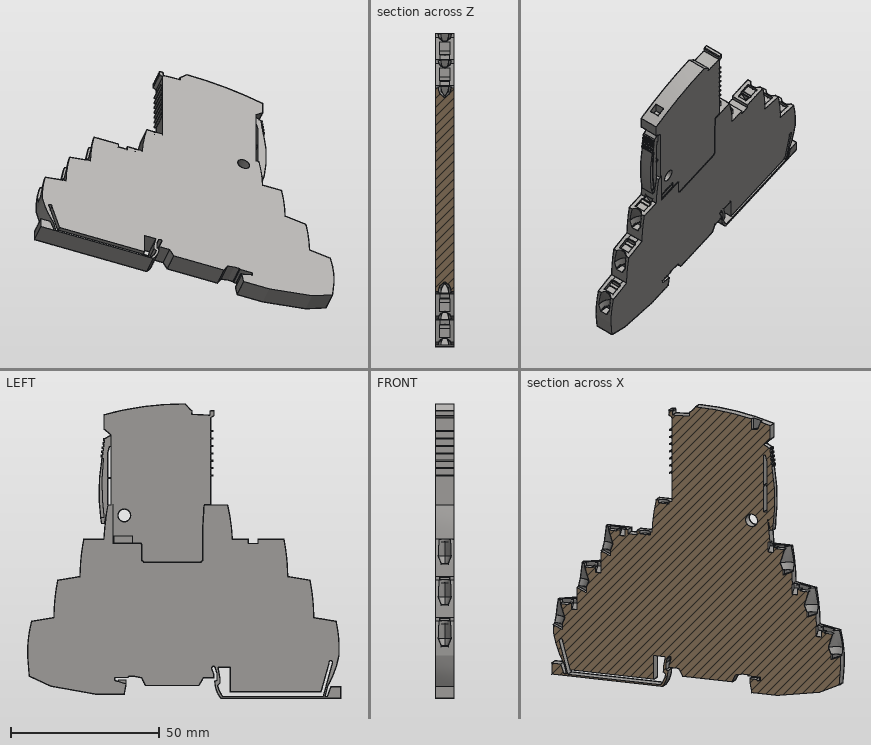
import cadquery as cq
import math

thickness = 6.3
face_x = -thickness / 2

tier_count = 3
tier_pitch_y = 8.8
tier_pitch_z = 13.85
tier_top_y = 33.8
tier_top_z = 53.75
tier_bulge = (0.85, -5.6)
tier_face_run = (1.3, -12.6)
housing_end_y = 52.75
housing_end_right_y = -52.35
end_low_z = 14.35

collar_z = 65.3
collar_left_y = 25.6
collar_right_y = -14.8
collar_foot_left_y = 27.0
collar_foot_right_y = -16.4
collar_mid_z = 59.3

module_left_y = 24.6
module_right_y = -9.1
module_head_y = 27.0
module_top_z = 99.4
module_overlap = 1.0
grip_count = 7
grip_pitch = 2.5
grip_top_z = 90.2
grip_reach = 0.75
grip_height = 0.35

lever_half_width = 2.25
lever_rim_step = 0.3
thumb_step_count = 5
thumb_top_z = 87.4
thumb_top_y = 27.15
thumb_root_y = 26.4
thumb_pitch = 1.4
thumb_step_out = 0.2
thumb_height = 0.6

foot_tip_y = -53.01
foot_block_z = 4.0
foot_plate = 0.7
housing_floor_z = 2.2
pocket_y = -15.6
pocket_top_z = 10.5

entry_base_y = 34.6
entry_half_width = 2.2
entry_shelf_half_width = 2.05
entry_shelf_apex_y = 32.8
entry_deep_apex_y = 30.6
entry_tip_half_width = 1.25
entry_tip_apex_y = 31.6
entry_bottom_z = 45.6
entry_taper_height = 2.4
entry_floor_drop = 1.7
driver_half_width = 1.55
driver_inner_y = 26.2
driver_outer_y = 28.0
driver_depth = 2.4
window_inner_y = 28.1
window_outer_y = 32.2
window_width = 3.7
window_depth = 0.9
window_ledge = 1.1
window_ledge_depth = 0.5
opening_clearance = 1.0

cross_hole_y = 20.1
cross_hole_z = 61.75
cross_hole_radius = 2.1
notch_y = (-25.0, -21.8)
notch_floor_z = 52.3
shelf_marker_y = -18.8
collar_marker_y = -12.0
latch_window_y = (17.3, 23.6)
latch_window_z = (52.4, 54.8)
latch_window_depth = 0.3
top_slot_x = (-1.25, 1.9)

marker_radius = 2.0
marker_x = 0.75
marker_depth = 1.0

seam_width = 0.12
seam_depth = 0.1


def prism(sketch, x_from=face_x, x_to=-face_x):
    """Extrude a closed YZ outline between two X positions."""
    return sketch.extrude(x_to - x_from).translate((x_from, 0, 0))


def polygon(points):
    return cq.Workplane("YZ").polyline(points).close()


def box(x_range, y_range, z_range):
    size = [high - low for low, high in (x_range, y_range, z_range)]
    corner = (x_range[0], y_range[0], z_range[0])
    return cq.Workplane("XY").box(*size, centered=False).translate(corner)


def tier_corner(level):
    return tier_top_y + level * tier_pitch_y, tier_top_z - level * tier_pitch_z


def housing():
    """Stepped housing with the rail hook, rail seat and spring foot in one outline."""
    outline = cq.Workplane("YZ").moveTo(collar_right_y, collar_z).lineTo(collar_left_y, collar_z)
    outline = outline.threePointArc((26.55, collar_mid_z), (collar_foot_left_y, tier_top_z))
    for level in range(tier_count):
        y, z = tier_corner(level)
        outline = outline.lineTo(y, z)
        if level < tier_count - 1:
            outline = outline.threePointArc(
                (y + tier_bulge[0], z + tier_bulge[1]),
                (y + tier_face_run[0], z + tier_face_run[1]),
            )
    outline = outline.threePointArc((52.45, 20.5), (housing_end_y, end_low_z)).lineTo(52.2, 7.5)
    for point in [(44.9, 4.1), (29.5, 1.35), (20.1, 1.35), (19.45, 4.9), (23.3, 6.1), (23.3, 7.05),
                  (18.8, 7.05), (18.6, 7.45), (16.8, 7.45), (14.3, 6.95), (13.0, 4.35),
                  (-5.1, 4.35), (-6.6, 6.95), (-10.2, 6.95), (-10.1, 8.2), (-9.5, 9.8)]:
        outline = outline.lineTo(*point)
    outline = outline.threePointArc((-9.9, 10.8), (-10.6, 10.1))
    for point in [(-11.1, 8.6), (-11.1, 6.1), (-10.4, 5.8)]:
        outline = outline.lineTo(*point)
    outline = outline.threePointArc((-11.0, 2.6), (-12.5, 0))
    for point in [(foot_tip_y, 0), (foot_tip_y, foot_block_z), (-49.6, foot_block_z),
                  (-48.4, foot_plate), (-47.7, foot_plate), (-48.5, 4.0)]:
        outline = outline.lineTo(*point)
    outline = outline.threePointArc((-51.0, 9.4), (housing_end_right_y, end_low_z))
    low_y, low_z = tier_corner(tier_count - 1)
    outline = outline.threePointArc((-52.25, 20.5), (-low_y, low_z))
    for level in reversed(range(tier_count - 1)):
        y, z = tier_corner(level)
        outline = outline.lineTo(-y - tier_face_run[0], z + tier_face_run[1]).threePointArc(
            (-y - tier_bulge[0], z + tier_bulge[1]), (-y, z))
    outline = outline.lineTo(collar_foot_right_y, tier_top_z)
    outline = outline.threePointArc((-15.9, collar_mid_z), (collar_right_y, collar_z)).close()
    return prism(outline)


def foot_clearance():
    """Open space above the foot plate, with the slanted slot that frees the outer leg."""
    outline = cq.Workplane("YZ").moveTo(-11.55, pocket_top_z)
    for point in [(pocket_y, pocket_top_z), (pocket_y, housing_floor_z),
                  (-46.3, housing_floor_z), (-49.05, 12.0)]:
        outline = outline.lineTo(*point)
    outline = outline.threePointArc((-49.65, 12.75), (-50.1, 12.0))
    outline = outline.lineTo(-47.0, foot_plate).lineTo(-13.1, foot_plate)
    outline = outline.threePointArc((-12.0, 2.6), (-11.4, 4.4))
    return prism(outline.lineTo(-12.2, 5.2).lineTo(-12.2, 6.9).close())


def rail_hook_tooth():
    """Small tooth on top of the rail hook, set back from the side faces."""
    setback = 1.0
    tooth = polygon([(19.45, 4.8), (19.45, 6.3), (21.9, 6.3), (22.4, 5.7)])
    return prism(tooth, face_x + setback, -face_x - setback)


def module():
    """Plug-in module with an arched top and an end lip above the collar."""
    outline = cq.Workplane("YZ").moveTo(module_left_y, collar_z - module_overlap).lineTo(module_left_y, 88.9)
    outline = outline.lineTo(module_head_y, 90.9).lineTo(module_head_y, 95.7)
    outline = outline.threePointArc((15.3, 98.25), (-0.4, module_top_z))
    for point in [(-2.2, 97.5), (-2.8, 97.0), (-2.7, 95.9), (-8.8, 95.6),
                  (-8.8, 96.8), (-9.1, 97.1), (-10.2, 97.1), (-10.2, 95.4),
                  (module_right_y, 94.7), (module_right_y, collar_z - module_overlap)]:
        outline = outline.lineTo(*point)
    return prism(outline.close())


def grip_ribs():
    ribs = cq.Workplane("XY")
    for index in range(grip_count):
        z = grip_top_z - index * grip_pitch
        ribs = ribs.add(box((face_x, -face_x), (module_right_y - grip_reach, module_right_y),
                            (z - grip_height / 2, z + grip_height / 2)))
    return ribs.combine()


def lever():
    """Release lever: a bowed bar with a stepped thumb grip, tied to the module at two places."""
    half_width = lever_half_width
    bar = cq.Workplane("YZ").moveTo(module_left_y, 88.9).lineTo(26.8, 87.6).lineTo(27.3, 83.0)
    bar = bar.threePointArc((28.55, 73.5), (27.8, 59.0)).lineTo(26.75, 59.0)
    bar = bar.lineTo(25.6, 65.3).lineTo(25.6, 83.0).lineTo(25.1, 85.0).lineTo(module_left_y, 85.0)
    bar = prism(bar.close(), -half_width, half_width)
    bar = bar.union(box((-half_width, half_width), (module_left_y, 26.0), (74.2, 74.6)))
    for index in range(thumb_step_count):
        z = thumb_top_z - index * thumb_pitch
        y = thumb_top_y + index * thumb_step_out
        z_range = (z - thumb_height / 2, z + thumb_height / 2)
        bar = bar.union(box((-half_width, half_width), (thumb_root_y, y), z_range))
    rim = cq.Workplane("YZ").moveTo(27.1, 81.0).threePointArc((27.6, 73.5), (26.9, 61.0))
    rim = rim.lineTo(29.5, 61.0).lineTo(29.5, 81.0).close()
    return bar.cut(prism(rim, -half_width, -half_width + lever_rim_step))


def entry_section(sections, half_width, apex_y):
    """Add a pointed-arch section whose two arcs meet in a crease at the apex."""
    depth = entry_base_y - apex_y
    outside_y = entry_base_y + 3
    radius = (half_width ** 2 + depth ** 2) / (2 * half_width)
    middle_angle = math.atan2(depth, radius - half_width) / 2
    middle_x = half_width - radius * (1 - math.cos(middle_angle))
    middle_y = entry_base_y - radius * math.sin(middle_angle)
    sections = sections.moveTo(-half_width, outside_y).lineTo(half_width, outside_y)
    sections = sections.lineTo(half_width, entry_base_y)
    sections = sections.threePointArc((middle_x, middle_y), (0, apex_y))
    return sections.threePointArc((-middle_x, middle_y), (-half_width, entry_base_y)).close()


def wire_entry():
    """Creased scoop in the end face: deepens downward, then narrows to a floor that falls inward."""
    floor = entry_section(cq.Workplane("XY", origin=(0, 0, entry_bottom_z)),
                          entry_tip_half_width, entry_tip_apex_y)
    floor = entry_section(floor.workplane(offset=entry_taper_height),
                          entry_half_width, entry_deep_apex_y).loft(ruled=True)
    taper_top_z = entry_bottom_z + entry_taper_height
    shaft = entry_section(cq.Workplane("XY", origin=(0, 0, taper_top_z)),
                          entry_half_width, entry_deep_apex_y)
    shaft = entry_section(shaft.workplane(offset=tier_top_z + opening_clearance - taper_top_z),
                          entry_shelf_half_width, entry_shelf_apex_y).loft(ruled=True)
    lip_y = entry_base_y + 1
    sump = polygon([(lip_y, entry_bottom_z), (entry_tip_apex_y, entry_bottom_z),
                    (entry_tip_apex_y, entry_bottom_z - entry_floor_drop)])
    sump = prism(sump, -entry_tip_half_width, entry_tip_half_width)
    return floor.union(shaft).union(sump)


def tier_openings():
    """Wire entry, V-bottomed driver slot and stepped window of the highest +Y tier."""
    top_z = tier_top_z + opening_clearance
    driver = cq.Workplane("XZ").polyline([
        (-driver_half_width, top_z), (driver_half_width, top_z),
        (driver_half_width, tier_top_z - driver_depth / 4), (0, tier_top_z - driver_depth),
        (-driver_half_width, tier_top_z - driver_depth / 4)]).close()
    driver = driver.extrude(driver_outer_y - driver_inner_y).translate((0, driver_outer_y, 0))
    x_range = (-window_width / 2, window_width / 2)
    ledge_end_y = window_inner_y + window_ledge
    ledge = box(x_range, (window_inner_y, ledge_end_y), (tier_top_z - window_ledge_depth, top_z))
    window = box(x_range, (ledge_end_y, window_outer_y), (tier_top_z - window_depth, top_z))
    return wire_entry().union(driver).union(ledge).union(window)


def marker_recess(y, z):
    recess = cq.Workplane("XY").circle(marker_radius).extrude(marker_depth)
    return recess.translate((marker_x, y, z - marker_depth))


def seam():
    """Fine groove on the -X face where the module sits in the housing."""
    path = [(23.9, collar_z), (23.9, 52.4), (14.6, 52.4), (14.2, 51.9), (14.2, 46.6), (13.5, 46.0),
            (-5.7, 46.0), (-6.4, 46.6), (-6.4, 58.0), (-6.8, 65.0), (-7.1, collar_z),
            (module_right_y, collar_z)]
    groove = cq.Workplane("YZ")
    for (y1, z1), (y2, z2) in zip(path, path[1:]):
        length = math.hypot(y2 - y1, z2 - z1) + seam_width
        strip = cq.Workplane("XY").box(2 * seam_depth, length, seam_width)
        strip = strip.rotate((0, 0, 0), (1, 0, 0), math.degrees(math.atan2(z2 - z1, y2 - y1)))
        groove = groove.add(strip.translate((face_x, (y1 + y2) / 2, (z1 + z2) / 2)))
    return groove.combine()


body = housing().cut(foot_clearance()).union(rail_hook_tooth())

for level in range(tier_count):
    openings = tier_openings().translate((0, level * tier_pitch_y, -level * tier_pitch_z))
    body = body.cut(openings).cut(openings.mirror("XZ"))

body = body.cut(box((face_x, -face_x), notch_y, (notch_floor_z, tier_top_z)))
body = body.cut(marker_recess(shelf_marker_y, tier_top_z)).cut(marker_recess(collar_marker_y, collar_z))

result = body.union(module()).union(grip_ribs()).union(lever())

cross_hole = cq.Workplane("YZ").center(cross_hole_y, cross_hole_z).circle(cross_hole_radius)
result = result.cut(prism(cross_hole))

result = result.cut(box((face_x, face_x + latch_window_depth), latch_window_y, latch_window_z))
top_slot = polygon([(20.2, 99.0), (23.3, 99.0), (23.3, 96.6), (22.3, 94.0), (20.2, 93.6)])
result = result.cut(prism(top_slot, *top_slot_x))

result = result.cut(seam())